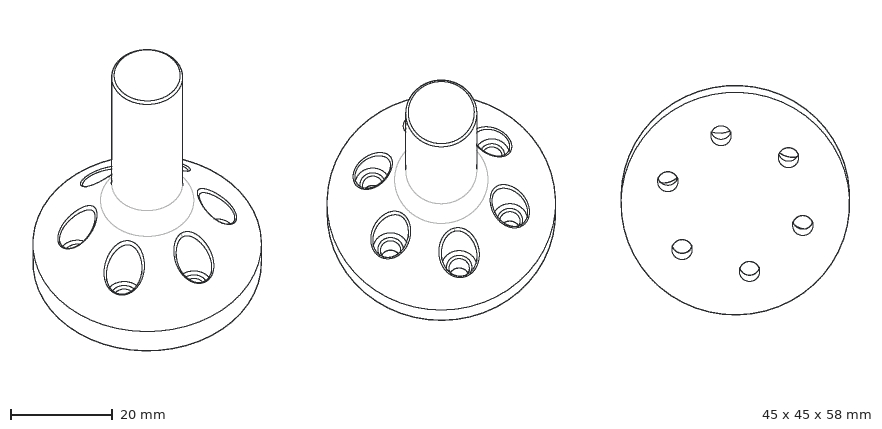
import cadquery as cq
import math

base_diameter = 45.0
base_thickness = 6.0
shaft_diameter = 14.0
total_height = 58.0
neck_radius = 7.5
shaft_chamfer = 0.5
cone_angle = 45.0

hole_count = 6
hole_circle_radius = 14.0
hole_diameter = 4.0
counterbore_diameter = 7.0
counterbore_floor = base_thickness
edge_chamfer = 0.5
countersink_taper = 45.0


def make_body():
    """Round foot, cone, tangent neck blend and chamfered shaft."""
    base_radius = base_diameter / 2
    shaft_radius = shaft_diameter / 2
    turn = math.radians(cone_angle)
    half_turn = turn / 2

    corner_height = base_thickness + (base_radius - shaft_radius) / math.tan(turn)
    neck_top = corner_height + neck_radius * math.tan(half_turn)

    def neck_point(angle):
        """Point on the neck arc, turned down by the angle from the shaft."""
        radius = shaft_radius + neck_radius * (1 - math.cos(angle))
        height = neck_top - neck_radius * math.sin(angle)
        return (radius, height)

    profile = (
        cq.Workplane("XZ")
        .lineTo(base_radius, 0)
        .lineTo(base_radius, base_thickness)
        .lineTo(*neck_point(turn))
        .threePointArc(neck_point(half_turn), (shaft_radius, neck_top))
        .lineTo(shaft_radius, total_height - shaft_chamfer)
        .lineTo(shaft_radius - shaft_chamfer, total_height)
        .lineTo(0, total_height)
        .close()
    )
    return profile.revolve(360, (0, 0, 0), (0, 1, 0))


def hole_circle(height):
    """Workplane at the given height holding the hole centres."""
    return (
        cq.Workplane("XY", origin=(0, 0, height))
        .polarArray(hole_circle_radius, 0, 360, hole_count)
    )


def cut_counterbores(body):
    """Sink the counterbores from the cone and chamfer their slanted rims."""
    bores = hole_circle(counterbore_floor).circle(counterbore_diameter / 2).extrude(total_height)
    bored = body.cut(bores)
    rims = bored.edges("not(%LINE or %CIRCLE)")
    return rims.chamfer(edge_chamfer)


def cut_screw_holes(body):
    """Drill through the foot and countersink each hole at its seat."""
    hole_radius = hole_diameter / 2
    holes = hole_circle(0).circle(hole_radius).extrude(counterbore_floor)
    countersinks = (
        hole_circle(counterbore_floor)
        .circle(hole_radius + edge_chamfer)
        .extrude(-edge_chamfer, taper=countersink_taper)
    )
    return body.cut(holes).cut(countersinks)


result = cut_screw_holes(cut_counterbores(make_body()))